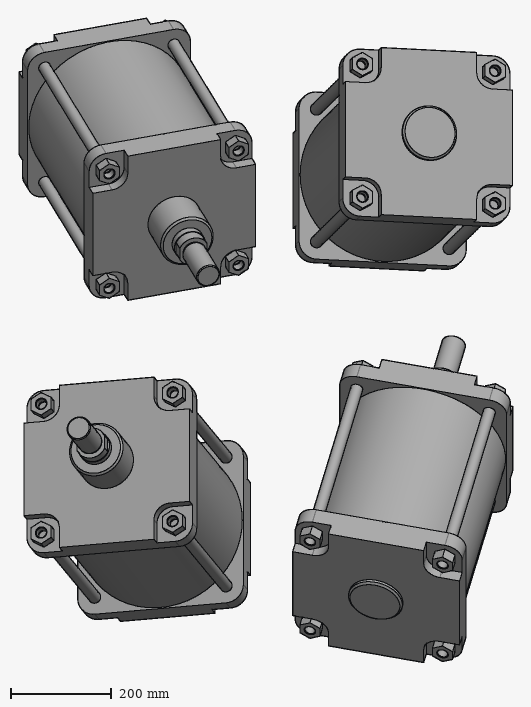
import cadquery as cq
import math

OVERALL_LENGTH = 696.0

CAP_WIDTH = 340.0
TIE_SPACING = 270.0
CAP_CORNER_RADIUS = (CAP_WIDTH - TIE_SPACING) / 2
REAR_CAP_THICKNESS = 56.5
FRONT_CAP_THICKNESS = 56.0
REAR_CAP_X = 10.0
FRONT_CAP_END_X = 479.5
POCKET_WIDTH = 73.0
POCKET_RADIUS = 33.0
POCKET_DEPTH = 23.0
BOSS_DIAMETER = 110.0
BOSS_CHAMFER = 4.0
FRONT_BOSS_LENGTH = 84.0

BARREL_DIAMETER = 336.0
BARREL_START_X = REAR_CAP_X + REAR_CAP_THICKNESS
BARREL_END_X = FRONT_CAP_END_X - FRONT_CAP_THICKNESS

TIE_OFFSET = TIE_SPACING / 2
TIE_DIAMETER = 24.5
NUT_ACROSS_FLATS = 41.0
NUT_HEIGHT = 21.5
NUT_HOLE_DIAMETER = 21.0
NUT_HOLE_CHAMFER = 1.5
NUT_HOLE_CHAMFER_ANGLE = 90
REAR_FLOOR_X = REAR_CAP_X + POCKET_DEPTH
FRONT_FLOOR_X = FRONT_CAP_END_X - POCKET_DEPTH
TIE_CENTRES = [(y, z) for y in (-TIE_OFFSET, TIE_OFFSET) for z in (-TIE_OFFSET, TIE_OFFSET)]

ROD_START_X = FRONT_CAP_END_X + FRONT_BOSS_LENGTH
COLLAR_DIAMETER = 65.0
COLLAR_LENGTH = 14.5
FLATS_DIAMETER = 62.5
FLATS_ACROSS = 57.0
FLATS_LENGTH = 23.0
NECK_DIAMETER = 44.0
NECK_LENGTH = 3.0
THREAD_DIAMETER = 48.0
THREAD_CHAMFER = 2.0


def cylinder(start_x, length, diameter):
    """Cylinder on the main axis, running in +X from start_x."""
    return cq.Workplane("YZ", origin=(start_x, 0, 0)).circle(diameter / 2).extrude(length)


def cap(start_x, thickness, pocket_x):
    """Square end plate with an open pocket at each corner and a tie rod hole in each pocket."""
    plate = (
        cq.Workplane("YZ", origin=(start_x, 0, 0))
        .rect(CAP_WIDTH, CAP_WIDTH)
        .extrude(thickness)
        .edges("|X")
        .fillet(CAP_CORNER_RADIUS)
    )
    half_width = CAP_WIDTH / 2
    pocket_centres = [(y, z) for y in (-half_width, half_width) for z in (-half_width, half_width)]
    pockets = (
        cq.Workplane("YZ", origin=(pocket_x, 0, 0))
        .pushPoints(pocket_centres)
        .rect(2 * POCKET_WIDTH, 2 * POCKET_WIDTH)
        .extrude(POCKET_DEPTH)
        .edges("|X")
        .fillet(POCKET_RADIUS)
    )
    tie_holes = (
        cq.Workplane("YZ", origin=(start_x, 0, 0))
        .pushPoints(TIE_CENTRES)
        .circle(TIE_DIAMETER / 2)
        .extrude(thickness)
    )
    return plate.cut(pockets).cut(tie_holes)


def make_rear_cap():
    boss = cylinder(0, REAR_CAP_X, BOSS_DIAMETER).faces("<X").chamfer(BOSS_CHAMFER)
    return cap(REAR_CAP_X, REAR_CAP_THICKNESS, REAR_CAP_X).union(boss)


def make_front_cap():
    boss = cylinder(FRONT_CAP_END_X, FRONT_BOSS_LENGTH, BOSS_DIAMETER).faces(">X").chamfer(BOSS_CHAMFER)
    return cap(BARREL_END_X, FRONT_CAP_THICKNESS, FRONT_FLOOR_X).union(boss)


def make_barrel():
    return cylinder(BARREL_START_X, BARREL_END_X - BARREL_START_X, BARREL_DIAMETER)


def nut(start_x, open_face):
    """Hexagonal nut with corners along Z and a hole chamfered at its open face."""
    across_corners = NUT_ACROSS_FLATS / math.cos(math.pi / 6)
    hexagon = (
        cq.Workplane("YZ", origin=(start_x, 0, 0))
        .transformed(rotate=(0, 0, 90))
        .polygon(6, across_corners)
        .extrude(NUT_HEIGHT)
    )
    mouth_diameter = NUT_HOLE_DIAMETER + 2 * NUT_HOLE_CHAMFER
    return hexagon.faces(open_face).workplane().cskHole(
        NUT_HOLE_DIAMETER, mouth_diameter, NUT_HOLE_CHAMFER_ANGLE
    )


def make_tie_rod(y, z):
    """Tie rod through both caps, one piece with its nuts; its ends close the nut holes."""
    shank = cylinder(REAR_FLOOR_X, FRONT_FLOOR_X - REAR_FLOOR_X, TIE_DIAMETER)
    rear_nut = nut(REAR_FLOOR_X - NUT_HEIGHT, "<X")
    front_nut = nut(FRONT_FLOOR_X, ">X")
    return shank.union(rear_nut).union(front_nut).translate((0, y, z))


def make_piston_rod():
    """Collar, section with two wrench flats, narrow neck and chamfered rod end."""
    flats_x = ROD_START_X + COLLAR_LENGTH
    neck_x = flats_x + FLATS_LENGTH
    thread_x = neck_x + NECK_LENGTH
    collar = cylinder(ROD_START_X, COLLAR_LENGTH, COLLAR_DIAMETER)
    flats_limit = cq.Workplane("XY", origin=(flats_x, 0, 0)).box(
        FLATS_LENGTH, FLATS_ACROSS, FLATS_DIAMETER, centered=(False, True, True)
    )
    flats = cylinder(flats_x, FLATS_LENGTH, FLATS_DIAMETER).intersect(flats_limit)
    neck = cylinder(neck_x, NECK_LENGTH, NECK_DIAMETER)
    thread = cylinder(thread_x, OVERALL_LENGTH - thread_x, THREAD_DIAMETER)
    thread = thread.faces("<X or >X").chamfer(THREAD_CHAMFER)
    return collar.union(flats).union(neck).union(thread)


rear_cap = make_rear_cap()
front_cap = make_front_cap()
barrel = make_barrel()
piston_rod = make_piston_rod()
tie_rods = [make_tie_rod(y, z) for y, z in TIE_CENTRES]

result = cq.Compound.makeCompound(
    [
        rear_cap.val(),
        front_cap.val(),
        barrel.val(),
        piston_rod.val(),
        *[tie_rod.val() for tie_rod in tie_rods],
    ]
)